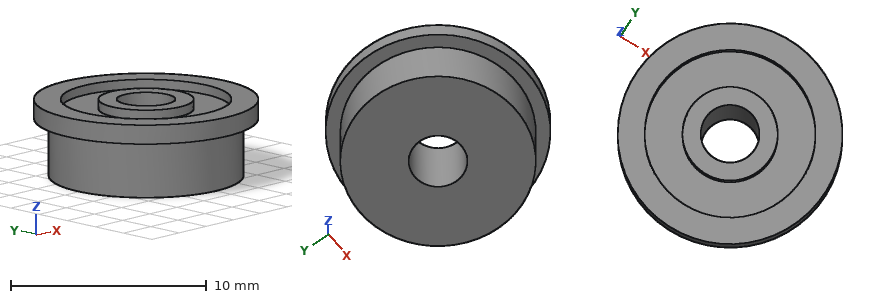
import cadquery as cq

total_height = 4.0
flange_height = 1.0
flange_diameter = 11.5
body_diameter = 10.0
bore_diameter = 3.0

recess_outer_diameter = 8.74
recess_inner_diameter = 4.88
recess_depth = 0.5


def disc(diameter, bottom, height):
    """Solid cylinder on the Z axis, rising from the given bottom height."""
    return cq.Workplane("XY").workplane(offset=bottom).circle(diameter / 2).extrude(height)


def flanged_body():
    """Cylindrical body with the flange flush with its top face."""
    flange = disc(flange_diameter, total_height - flange_height, flange_height)
    return disc(body_diameter, 0, total_height).union(flange)


def face_recess():
    """Ring-shaped volume removed from the top face."""
    recess_floor = total_height - recess_depth
    outer = disc(recess_outer_diameter, recess_floor, recess_depth)
    inner = disc(recess_inner_diameter, recess_floor, recess_depth)
    return outer.cut(inner)


bore = disc(bore_diameter, 0, total_height)

result = flanged_body().cut(face_recess()).cut(bore)